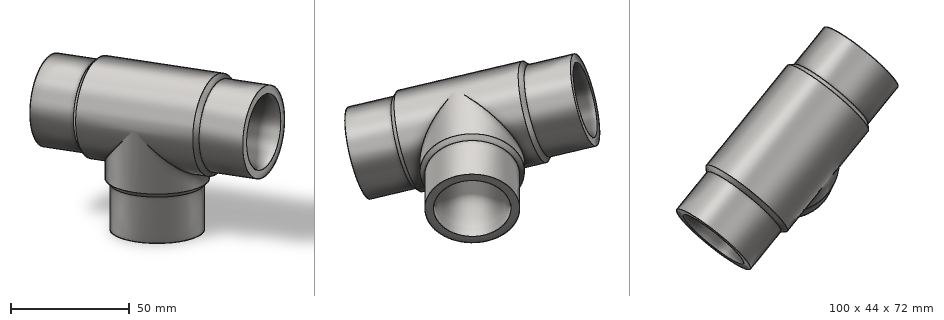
import cadquery as cq

bore_diameter = 32.6
spigot_diameter = 40.0
body_diameter = 44.0
end_distance = 50.0
shoulder_distance = 29.5
shoulder_chamfer = (body_diameter - spigot_diameter) / 2

run_plane = cq.Plane(origin=(0, 0, 0), xDir=(0, 1, 0), normal=(1, 0, 0))
branch_plane = cq.Plane(origin=(0, 0, 0), xDir=(1, 0, 0), normal=(0, 0, -1))


def cylinder(plane, diameter, start, end):
    """Cylinder along the plane's normal between two distances from the crossing."""
    return cq.Workplane(plane).workplane(offset=start).circle(diameter / 2).extrude(end - start)


def make_run():
    """Chamfered body with a spigot at each end."""
    body = cylinder(run_plane, body_diameter, -shoulder_distance, shoulder_distance)
    body = body.faces("<X or >X").chamfer(shoulder_chamfer)
    return body.union(cylinder(run_plane, spigot_diameter, -end_distance, end_distance))


def make_branch():
    """Chamfered body with a spigot at its lower end, starting on the run's axis."""
    body = cylinder(branch_plane, body_diameter, 0, shoulder_distance)
    body = body.faces("<Z").chamfer(shoulder_chamfer)
    return body.union(cylinder(branch_plane, spigot_diameter, 0, end_distance))


def make_bores():
    """Bore through the run, joined by the bore of the branch."""
    run_bore = cylinder(run_plane, bore_diameter, -end_distance, end_distance)
    return run_bore.union(cylinder(branch_plane, bore_diameter, 0, end_distance))


result = make_run().union(make_branch()).cut(make_bores())